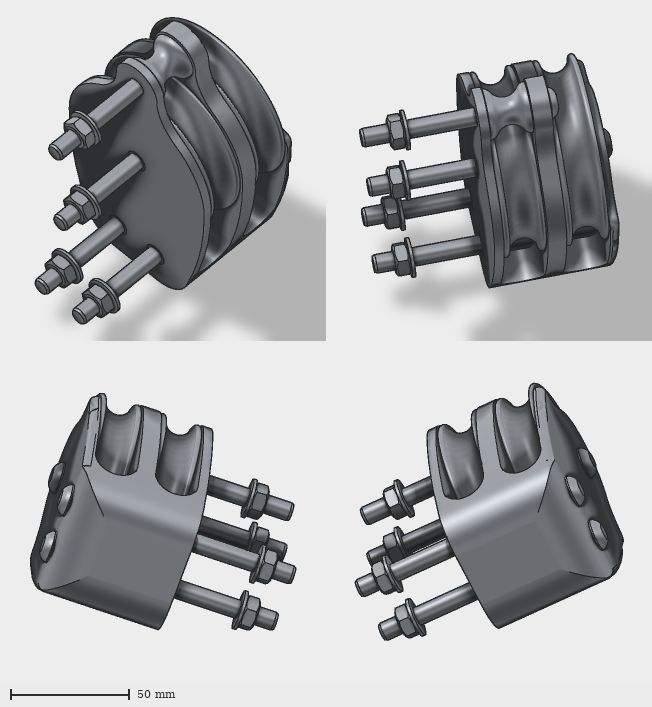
import cadquery as cq
import math


PLATE = 4.1
SLOT = 18.9
MIDDLE = 8.0
SLOT_1 = PLATE
MIDDLE_FRONT = SLOT_1 + SLOT
SLOT_2 = MIDDLE_FRONT + MIDDLE
BACK_PLATE = SLOT_2 + SLOT
BACK = BACK_PLATE + PLATE

HEIGHT = 138.0
HALF_WIDTH = 40.0
LOBE_R = 12.0
AXLE_Z = 73.0
ROLLER_Z = HEIGHT - LOBE_R
FLANK_TOP_Z = 72.0
FOOT_R = 18.2
FOOT_X = 12.1
FOOT_TOP_Z = 13.8
CAP_R = 26.9
EAR_R = 5.0
CAP_NECK_R = 18.2
BACK_EDGE_R = 3.0
HEEL_R = 17.0
SLOT_FLOOR_Z = 14.0
CUT_MARGIN = 1.4
FOOT_BOLT_X = 11.0
FOOT_BOLT_Z = 17.0

THREAD_D = 8.0
THREAD_HOLE_D = 8.1
SHOULDER_D = 10.0
SHOULDER_HOLE_D = 10.2
HEAD_D = 14.0
HEAD_TOP_D = 7.2
HEAD_H = 4.0
HEAD_RIM_H = 0.7
DOME_BULGE = 0.4
WASHER_D = 17.0
WASHER_Y = -29.7
WASHER_T = 1.4
NUT_FLATS = 13.0
NUT_H = 6.3
NUT_FACE_D = 11.3
NUT_CHAMFER_H = 1.1
ROLLER_NUT_TURN = -18.0
TIP_Y = -46.2
ROLLER_TIP_Y = -49.3
TIP_CHAMFER = 0.5
TIP_CHAMFER_L = 1.1

SHEAVE_R = 39.7
SHEAVE_W = 18.0
SHEAVE_ROOT_R = 33.0
RIM_T = 2.3
ROLLER_R = 22.0 / 2
ROLLER_W = 18.2
ROLLER_ROOT_R = 12.0 / 2
ROLLER_SHOULDER_R = 4.0


def polar(center, radius, angle):
    """Point at an angle (radians) on a circle."""
    return (center[0] + radius * math.cos(angle), center[1] + radius * math.sin(angle))


def angle_to(start, end):
    return math.atan2(end[1] - start[1], end[0] - start[0])


def touching_center(center_a, distance_a, center_b, distance_b):
    """Upper point at the given distances from two centers, center_a being the left one."""
    spacing = math.dist(center_a, center_b)
    cosine = (spacing**2 + distance_a**2 - distance_b**2) / (2 * spacing * distance_a)
    return polar(center_a, distance_a, angle_to(center_a, center_b) + math.acos(cosine))


def mirrored(point):
    return (-point[0], point[1])


def revolve_about_y(profile):
    return profile.close().revolve(360, (0, 0), (0, 1))


AXLE = (0, AXLE_Z)
FLANK_TOP = (math.sqrt(HALF_WIDTH**2 - (AXLE_Z - FLANK_TOP_Z) ** 2), FLANK_TOP_Z)
FOOT_CENTER = (FOOT_X, FOOT_R)
foot_angle = -math.asin((FOOT_R - FOOT_TOP_Z) / FOOT_R)
FOOT_TOP = polar(FOOT_CENTER, FOOT_R, foot_angle)
FOOT_MID = polar(FOOT_CENTER, FOOT_R, (foot_angle - math.pi / 2) / 2)

flank_in = FLANK_TOP[0] - FOOT_TOP[0]
flank_drop = FLANK_TOP_Z - FOOT_TOP_Z
FLANK_R = (flank_in**2 + flank_drop**2) / (2 * flank_in)
FLANK_CENTER = (FLANK_TOP[0] - FLANK_R, FLANK_TOP_Z)
FLANK_MID = polar(FLANK_CENTER, FLANK_R, angle_to(FLANK_CENTER, FOOT_TOP) / 2)


def lower_outline():
    """Half-open outline from the left flank top, round the bottom, to the right one."""
    return (
        cq.Workplane("XZ")
        .moveTo(*mirrored(FLANK_TOP))
        .threePointArc(mirrored(FLANK_MID), mirrored(FOOT_TOP))
        .threePointArc(mirrored(FOOT_MID), (-FOOT_X, 0))
        .lineTo(FOOT_X, 0)
        .threePointArc(FOOT_MID, FOOT_TOP)
        .threePointArc(FLANK_MID, FLANK_TOP)
    )


def front_body():
    """Front and middle plates with the roller lobe, still solid between them."""
    rise = ROLLER_Z - AXLE_Z
    neck_r = (LOBE_R**2 + rise**2 - HALF_WIDTH**2) / (2 * (HALF_WIDTH - LOBE_R))
    neck_center = (LOBE_R + neck_r, ROLLER_Z)
    shoulder_angle = angle_to(AXLE, neck_center)
    shoulder_mid = polar(AXLE, HALF_WIDTH, shoulder_angle / 2)
    shoulder_end = polar(AXLE, HALF_WIDTH, shoulder_angle)
    neck_mid = polar(neck_center, neck_r, math.pi + shoulder_angle / 2)
    return (
        lower_outline()
        .threePointArc(shoulder_mid, shoulder_end)
        .threePointArc(neck_mid, (LOBE_R, ROLLER_Z))
        .threePointArc((0, HEIGHT), (-LOBE_R, ROLLER_Z))
        .threePointArc(mirrored(neck_mid), mirrored(shoulder_end))
        .threePointArc(mirrored(shoulder_mid), mirrored(FLANK_TOP))
        .close()
        .extrude(-SLOT_2)
    )


def back_body():
    """Lower back part of the block, with a rounded edge around its back face."""
    ear_center = (FLANK_TOP[0] - EAR_R, FLANK_TOP_Z)
    neck_center = touching_center(AXLE, CAP_R + CAP_NECK_R, ear_center, EAR_R + CAP_NECK_R)
    ear_angle = angle_to(ear_center, neck_center)
    cap_angle = angle_to(AXLE, neck_center)
    ear_end = polar(ear_center, EAR_R, ear_angle)
    cap_start = polar(AXLE, CAP_R, cap_angle)
    ear_mid = polar(ear_center, EAR_R, ear_angle / 2)
    neck_mid = polar(neck_center, CAP_NECK_R, math.pi + (ear_angle + cap_angle) / 2)
    return (
        lower_outline()
        .threePointArc(ear_mid, ear_end)
        .threePointArc(neck_mid, cap_start)
        .threePointArc((0, AXLE_Z + CAP_R), mirrored(cap_start))
        .threePointArc(mirrored(neck_mid), mirrored(ear_end))
        .threePointArc(mirrored(ear_mid), mirrored(FLANK_TOP))
        .close()
        .extrude(-(BACK - SLOT_2))
        .translate((0, SLOT_2, 0))
        .faces(">Y")
        .edges()
        .fillet(BACK_EDGE_R)
    )


def heel_cutter():
    """Material outside the rounded lower back corner."""
    corner = cq.Workplane("XY").box(
        2 * HALF_WIDTH, HEEL_R, HEEL_R, centered=(True, False, False)
    ).translate((0, BACK - HEEL_R, 0))
    rounding = (
        cq.Workplane("YZ")
        .center(BACK - HEEL_R, HEEL_R)
        .circle(HEEL_R)
        .extrude(HALF_WIDTH, both=True)
    )
    return corner.cut(rounding)


def slot_cutter(front_y):
    """Open-topped sheave slot with a half-round floor."""
    radius = SLOT / 2
    return (
        cq.Workplane("YZ", origin=(0, front_y, SLOT_FLOOR_Z))
        .moveTo(0, HEIGHT)
        .lineTo(0, radius)
        .threePointArc((radius, 0), (SLOT, radius))
        .lineTo(SLOT, HEIGHT)
        .close()
        .extrude(HALF_WIDTH + CUT_MARGIN, both=True)
    )


def bolt_hole(x, z, diameter):
    return cq.Workplane("XZ").center(x, z).circle(diameter / 2).extrude(-BACK)


SHOULDER_BOLT_SPOTS = [(0, AXLE_Z), (-FOOT_BOLT_X, FOOT_BOLT_Z), (FOOT_BOLT_X, FOOT_BOLT_Z)]


def make_housing():
    block = front_body().union(back_body()).cut(heel_cutter())
    for front_y in (SLOT_1, SLOT_2):
        block = block.cut(slot_cutter(front_y))
    for x, z in SHOULDER_BOLT_SPOTS:
        block = block.cut(bolt_hole(x, z, SHOULDER_HOLE_D))
    return block.cut(bolt_hole(0, ROLLER_Z, THREAD_HOLE_D))


def make_sheave(center_y):
    """Grooved wheel with fully rounded rims."""
    bore_r = SHOULDER_HOLE_D / 2
    half = SHEAVE_W / 2
    groove_half = half - RIM_T
    rim_mid = half - RIM_T / 2
    rim_base_r = SHEAVE_R - RIM_T / 2
    profile = (
        cq.Workplane("XY")
        .moveTo(bore_r, -half)
        .lineTo(rim_base_r, -half)
        .threePointArc((SHEAVE_R, -rim_mid), (rim_base_r, -groove_half))
        .threePointArc((SHEAVE_ROOT_R, 0), (rim_base_r, groove_half))
        .threePointArc((SHEAVE_R, rim_mid), (rim_base_r, half))
        .lineTo(bore_r, half)
    )
    return revolve_about_y(profile).translate((0, center_y, AXLE_Z))


def make_roller(center_y):
    """Small waisted roller: a groove arc blending into a convex arc at each end."""
    bore_r = THREAD_HOLE_D / 2
    half = ROLLER_W / 2
    end_center = (ROLLER_R - ROLLER_SHOULDER_R, half)
    drop = ROLLER_ROOT_R - end_center[0]
    groove_r = (drop**2 + half**2 - ROLLER_SHOULDER_R**2) / (2 * (ROLLER_SHOULDER_R - drop))
    groove_center = (ROLLER_ROOT_R + groove_r, 0)
    blend_angle = angle_to(end_center, groove_center)
    blend = polar(end_center, ROLLER_SHOULDER_R, blend_angle)
    end_mid = polar(end_center, ROLLER_SHOULDER_R, blend_angle / 2)
    profile = (
        cq.Workplane("XY")
        .moveTo(bore_r, -half)
        .lineTo(ROLLER_R, -half)
        .threePointArc((end_mid[0], -end_mid[1]), (blend[0], -blend[1]))
        .threePointArc((ROLLER_ROOT_R, 0), blend)
        .threePointArc(end_mid, (ROLLER_R, half))
        .lineTo(bore_r, half)
    )
    return revolve_about_y(profile).translate((0, center_y, ROLLER_Z))


def make_nut(turn):
    """Hex nut on the Y axis, its corners chamfered at both ends."""
    corner_d = NUT_FLATS / math.cos(math.pi / 6)
    outer_y = WASHER_Y - WASHER_T - NUT_H
    hexagon = (
        cq.Workplane("XZ", origin=(0, outer_y, 0))
        .polygon(6, corner_d)
        .extrude(-NUT_H)
        .rotate((0, 0, 0), (0, 1, 0), -turn)
    )
    envelope = (
        cq.Workplane("XY")
        .moveTo(0, outer_y)
        .lineTo(NUT_FACE_D / 2, outer_y)
        .lineTo(corner_d / 2, outer_y + NUT_CHAMFER_H)
        .lineTo(corner_d / 2, outer_y + NUT_H - NUT_CHAMFER_H)
        .lineTo(NUT_FACE_D / 2, outer_y + NUT_H)
        .lineTo(0, outer_y + NUT_H)
    )
    return hexagon.intersect(revolve_about_y(envelope))


def make_bolt(x, z, seat_y, tip_y, shank_d, nut_turn):
    """Domed bolt whose head sits at seat_y; the wider shank ends at the front face."""
    thread_r = THREAD_D / 2
    head_r = HEAD_D / 2
    top_r = HEAD_TOP_D / 2
    rim_y = seat_y + HEAD_RIM_H
    head_y = seat_y + HEAD_H
    dome_mid = ((head_r + top_r) / 2 + DOME_BULGE, (rim_y + head_y) / 2 + DOME_BULGE)
    profile = (
        cq.Workplane("XY")
        .moveTo(0, tip_y)
        .lineTo(thread_r - TIP_CHAMFER, tip_y)
        .lineTo(thread_r, tip_y + TIP_CHAMFER_L)
        .lineTo(thread_r, 0)
    )
    if shank_d > THREAD_D:
        profile = profile.lineTo(shank_d / 2, 0)
    profile = (
        profile.lineTo(shank_d / 2, seat_y)
        .lineTo(head_r, seat_y)
        .lineTo(head_r, rim_y)
        .threePointArc(dome_mid, (top_r, head_y))
        .lineTo(0, head_y)
    )
    washer = (
        cq.Workplane("XZ", origin=(0, WASHER_Y, 0)).circle(WASHER_D / 2).extrude(WASHER_T)
    )
    bolt = revolve_about_y(profile).union(washer).union(make_nut(nut_turn))
    return bolt.translate((x, 0, z))


housing = make_housing()
sheaves = [make_sheave(slot_y + SLOT / 2) for slot_y in (SLOT_1, SLOT_2)]
roller = make_roller(SLOT_1 + SLOT / 2)
shoulder_bolts = [
    make_bolt(x, z, BACK, TIP_Y, SHOULDER_D, 0) for x, z in SHOULDER_BOLT_SPOTS
]
roller_bolt = make_bolt(0, ROLLER_Z, SLOT_2, ROLLER_TIP_Y, THREAD_D, ROLLER_NUT_TURN)

bodies = [housing, *sheaves, roller, *shoulder_bolts, roller_bolt]
result = cq.Compound.makeCompound([body.val() for body in bodies])